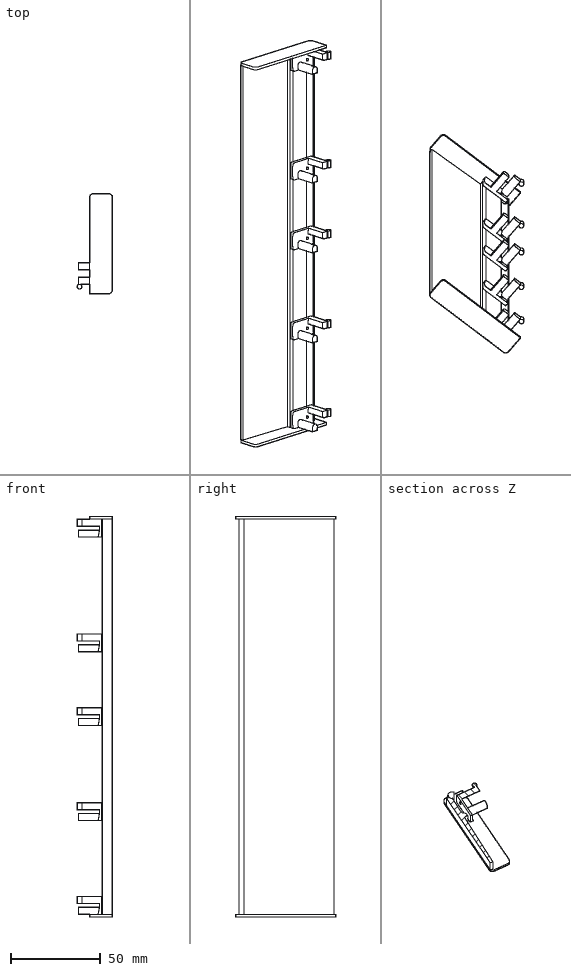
import cadquery as cq
import math


total_height = 223.5
cap_thickness = 1.5
panel_height = total_height - 2 * cap_thickness
panel_top = panel_height / 2

cap_depth = 12.7
cap_length = 55.8
cap_front_radius = 2.2
cap_end_radius = 2.0

panel_end_y = 55.0
wall_taper_angle = 1.5
rail_height = 4.7
rail_end_y = 20.8
rail_ledge = 1.3
rail_ledge_rise = 0.13
rail_round = 1.8
rail_foot = 1.5
rail_foot_rise = 0.2
curl_x = -3.8
curl_y = 4.2
curl_outer_radius = 2.5
curl_inner_radius = 2.0
curl_floor_angle = 70
curl_tip_angle = 217
curl_tip_inner_angle = 203
curl_tangent_angle = -45

clip_tops = [panel_top, 46.2, 5.1, -47.8]
clip_height = 10.0
clip_reach = 19.0
web_back_x = -6.0
web_thickness = 2.0
web_hollow = 0.78
clip_root_x = web_back_x - web_thickness / 2
web_front_y = 5.4
web_end_y = 21.5
web_corner_radius = 1.0
arm_size = 4.0
arm_corner_radius = 1.3
bead_diameter = 2.7
bead_overhang = 0.7
bead_drop = 1.3
tongue_width = 4.0
tongue_y = 15.5
pinhole_diameter = 1.4
pinhole_y = 9.5
pinhole_drop = 6.0
lowest_clip_top = clip_height - panel_top


def curl_point(radius, angle):
    """Point on a circle about the axis of the curled edge, angle in degrees from +X."""
    turn = math.radians(angle)
    return (curl_x + radius * math.cos(turn), curl_y + radius * math.sin(turn))


def block(x_range, y_range, z_range):
    """Box between two limits along each axis."""
    size = [high - low for low, high in (x_range, y_range, z_range)]
    corner = (x_range[0], y_range[0], z_range[0])
    return cq.Workplane("XY").box(*size, centered=False).translate(corner)


def make_cap(bottom_z):
    """Flat end plate with three rounded corners, its base at bottom_z."""
    plate = block((-cap_depth, 0), (0, cap_length), (bottom_z, bottom_z + cap_thickness))
    plate = plate.edges("|Z and >Y").fillet(cap_end_radius)
    return plate.edges("|Z and >X and <Y").fillet(cap_front_radius)


def make_panel():
    """Extruded wall with a rail and a curled front edge."""
    floor_edge = curl_point(curl_inner_radius, curl_floor_angle)
    taper = math.tan(math.radians(wall_taper_angle))

    def wall_point(y):
        """Point at y on the sloped front of the wall."""
        return (floor_edge[0] + taper * (y - floor_edge[1]), y)

    rail_round_y = rail_end_y - rail_ledge
    rail_foot_y = rail_round_y - rail_round
    rail_top_x = -rail_height - rail_ledge_rise
    foot_edge = wall_point(rail_foot_y - rail_foot)
    rail_foot_x = foot_edge[0] - rail_foot_rise
    rail_drop = rail_foot_x - rail_top_x
    rail_radius = (rail_round**2 + rail_drop**2) / (2 * rail_drop)
    half_turn = math.asin(rail_round / rail_radius) / 2
    rail_mid = (
        rail_top_x + rail_radius * (1 - math.cos(half_turn)),
        rail_round_y - rail_radius * math.sin(half_turn),
    )

    inner_mid_angle = (curl_floor_angle + curl_tip_inner_angle - 360) / 2
    tangent_end = curl_point(curl_outer_radius, curl_tangent_angle)
    outer_mid_angle = (curl_tip_angle + 360 + curl_tangent_angle) / 2
    back_front_y = tangent_end[1] - tangent_end[0]

    profile = (
        cq.Workplane("XY", origin=(0, 0, -panel_top))
        .moveTo(0, panel_end_y)
        .lineTo(*wall_point(panel_end_y))
        .lineTo(*wall_point(rail_end_y))
        .lineTo(-rail_height, rail_end_y)
        .lineTo(rail_top_x, rail_round_y)
        .threePointArc(rail_mid, (rail_foot_x, rail_foot_y))
        .lineTo(*foot_edge)
        .lineTo(*floor_edge)
        .threePointArc(
            curl_point(curl_inner_radius, inner_mid_angle),
            curl_point(curl_inner_radius, curl_tip_inner_angle),
        )
        .lineTo(*curl_point(curl_outer_radius, curl_tip_angle))
        .threePointArc(curl_point(curl_outer_radius, outer_mid_angle), tangent_end)
        .lineTo(0, back_front_y)
        .close()
    )
    return profile.extrude(panel_height)


def make_web():
    """Upright plate of a clip, hollowed along Y on its outer side, with its top at Z = 0."""
    outer_x = web_back_x - web_thickness
    web = block((outer_x, web_back_x), (web_front_y, web_end_y), (-clip_height, 0))
    web = web.edges("|X and >Y").fillet(web_corner_radius)
    hollow = (
        cq.Workplane("XZ", origin=(0, web_end_y, 0))
        .moveTo(outer_x, 0)
        .threePointArc((outer_x + web_hollow, -clip_height / 2), (outer_x, -clip_height))
        .close()
        .extrude(web_end_y - web_front_y)
    )
    pinhole = (
        cq.Workplane("YZ", origin=(outer_x, 0, 0))
        .center(pinhole_y, -pinhole_drop)
        .circle(pinhole_diameter / 2)
        .extrude(web_thickness)
    )
    return web.cut(hollow).cut(pinhole)


def make_arm():
    """Square arm along X with a bead under the front of its tip."""
    arm_end_y = web_front_y + arm_size
    arm = block((-clip_reach, clip_root_x), (web_front_y, arm_end_y), (-arm_size, 0))
    arm = arm.edges("|X and >Y and <Z").fillet(arm_corner_radius)
    bead_x = -clip_reach - bead_overhang + bead_diameter / 2
    bead_y = web_front_y - bead_drop
    bead = (
        cq.Workplane("XY", origin=(0, 0, -arm_size))
        .center(bead_x, bead_y)
        .circle(bead_diameter / 2)
        .extrude(arm_size)
    )
    neck = block((-clip_reach, bead_x), (bead_y, web_front_y), (-arm_size, 0))
    return arm.union(neck).union(bead)


def make_tongue():
    """Round-topped tongue along X at the foot of the clip."""
    radius = tongue_width / 2
    axis_z = radius - clip_height
    return (
        cq.Workplane("YZ", origin=(-clip_reach, 0, 0))
        .moveTo(tongue_y - radius, -clip_height)
        .lineTo(tongue_y - radius, axis_z)
        .threePointArc((tongue_y, axis_z + radius), (tongue_y + radius, axis_z))
        .lineTo(tongue_y + radius, -clip_height)
        .close()
        .extrude(clip_reach + clip_root_x)
    )


def make_clip(top_z):
    """Clip made of a web, an arm and a tongue, its top at top_z."""
    clip = make_web().union(make_arm()).union(make_tongue())
    return clip.translate((0, 0, top_z))


panel = make_panel()
caps = [make_cap(bottom_z) for bottom_z in (-total_height / 2, panel_top)]
clips = [make_clip(top_z) for top_z in clip_tops + [lowest_clip_top]]

result = cq.Compound.makeCompound(
    [panel.val()] + [cap.val() for cap in caps] + [clip.val() for clip in clips]
)